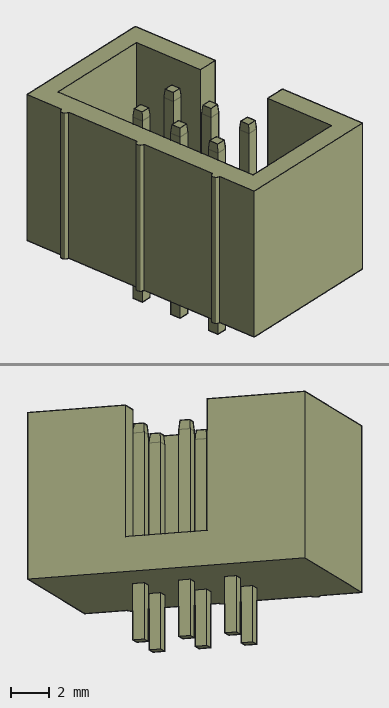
import cadquery as cq

LENGTH = 15.28
WIDTH = 8.86
HEIGHT = 8.86
END_WALL = 1.08
SIDE_WALL = 1.22
FLOOR = 1.86
KEY_WIDTH = 4.5

RIB_RADIUS = 0.25
RIB_COUNT = 3

PITCH = 2.54
COLUMNS = 3
ROWS = 2
PIN_SIZE = 0.64
PIN_TOP = 8.51
TAIL_LENGTH = 3.0
TIP_HEIGHT = 0.5
TIP_INSET = 0.05

FRONT_Y = -WIDTH / 2
RIB_SPACING = 2 * PITCH


def block(length, width, height, bottom):
    """Box centred on the Z axis with its lower face at the given height."""
    return cq.Workplane("XY").workplane(offset=bottom).rect(length, width).extrude(height)


def make_shroud():
    """Box with a deep cavity and a keying slot through the rear wall."""
    depth = HEIGHT - FLOOR
    cavity = block(LENGTH - 2 * END_WALL, WIDTH - 2 * SIDE_WALL, depth, FLOOR)
    key_slot = block(KEY_WIDTH, WIDTH / 2, depth, FLOOR).translate((0, WIDTH / 4, 0))
    return block(LENGTH, WIDTH, HEIGHT, 0).cut(cavity).cut(key_slot)


def make_ribs():
    """Full-height cylinders centred on the front face, half buried in the wall."""
    return (
        cq.Workplane("XY")
        .center(0, FRONT_Y)
        .rarray(RIB_SPACING, 0.15, RIB_COUNT, 1)
        .circle(RIB_RADIUS)
        .extrude(HEIGHT)
    )


def make_pin():
    """Square pin running through the floor, with a tapered upper tip."""
    tip_base = PIN_TOP - TIP_HEIGHT
    tip_size = PIN_SIZE - 2 * TIP_INSET
    shank = block(PIN_SIZE, PIN_SIZE, tip_base + TAIL_LENGTH, -TAIL_LENGTH)
    tip = (
        cq.Workplane("XY")
        .workplane(offset=tip_base)
        .rect(PIN_SIZE, PIN_SIZE)
        .workplane(offset=TIP_HEIGHT)
        .rect(tip_size, tip_size)
        .loft(ruled=True)
    )
    return shank.union(tip)


result = make_shroud().union(make_ribs())
for column in range(COLUMNS):
    for row in range(ROWS):
        pin_x = (column - (COLUMNS - 1) / 2) * PITCH
        pin_y = (row - (ROWS - 1) / 2) * PITCH
        result = result.union(make_pin().translate((pin_x, pin_y, 0)))